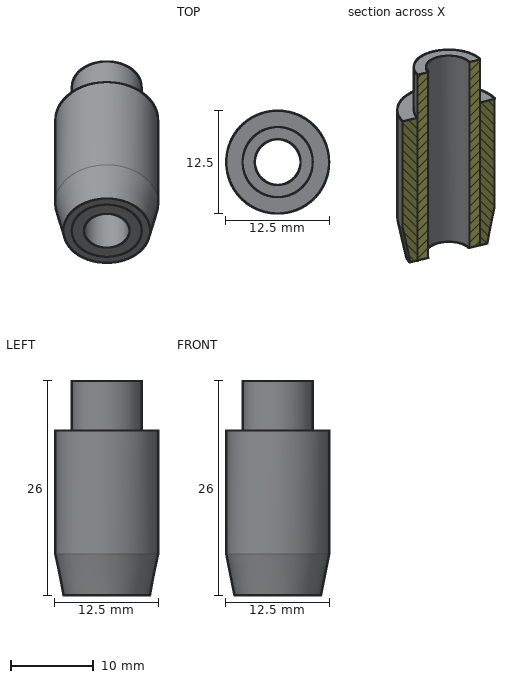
import cadquery as cq

tube_length = 26.0
tube_exposed_length = 6.0
taper_height = 5.0
sleeve_length = tube_length - tube_exposed_length

bore_diameter = 5.5
tube_diameter = 8.5
sleeve_diameter = 12.5
sleeve_tip_diameter = 10.5


def make_tube():
    """Straight tube with a through bore, running the full length."""
    return (
        cq.Workplane("XY")
        .circle(tube_diameter / 2)
        .circle(bore_diameter / 2)
        .extrude(tube_length)
    )


def make_sleeve():
    """Sleeve around the tube: a cylinder that narrows to a conical tip at the bottom."""
    inner_radius = tube_diameter / 2
    outer_radius = sleeve_diameter / 2
    tip_radius = sleeve_tip_diameter / 2
    half_section = (
        cq.Workplane("XZ")
        .moveTo(inner_radius, 0)
        .lineTo(tip_radius, 0)
        .lineTo(outer_radius, taper_height)
        .lineTo(outer_radius, sleeve_length)
        .lineTo(inner_radius, sleeve_length)
        .close()
    )
    return half_section.revolve(360, (0, 0, 0), (0, 1, 0))


tube = make_tube()
sleeve = make_sleeve()

result = cq.Compound.makeCompound([tube.val(), sleeve.val()])